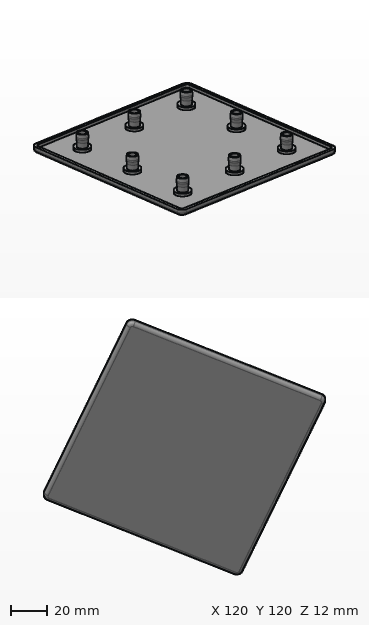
import cadquery as cq

side = 120.0
tray_height = side / 30
floor_thickness = tray_height / 2
wall = tray_height / 2
corner_radius = 3.5
bottom_round = 2.3

total_height = 12.0
stud_spacing = side / 3
foot_radius = side / 24
foot_height = 1.7

bead_radius = 3.5
bead_projection = 0.28
bead_start = 7.0
band_bottom = 9.0
band_top = 10.0
shank_radius = bead_radius - bead_projection

hole_radius = 2.3
hole_bottom = floor_thickness


def make_tray():
    """Square tray with rounded corners and a rounded bottom edge."""
    block = (
        cq.Workplane("XY")
        .rect(side, side)
        .extrude(tray_height)
        .edges("|Z")
        .fillet(corner_radius)
        .faces("<Z")
        .edges()
        .fillet(bottom_round)
    )
    inner_side = side - 2 * wall
    recess = (
        cq.Workplane("XY")
        .workplane(offset=floor_thickness)
        .rect(inner_side, inner_side)
        .extrude(tray_height - floor_thickness)
        .edges("|Z")
        .fillet(corner_radius - wall)
    )
    return block.cut(recess)


def make_stud():
    """Turned stud: foot, shank, snap bead up to the tip, and a blind hole."""
    foot_top = floor_thickness + foot_height
    profile = (
        cq.Workplane("XZ")
        .moveTo(0, floor_thickness)
        .lineTo(foot_radius, floor_thickness)
        .lineTo(foot_radius, foot_top)
        .lineTo(shank_radius, foot_top)
        .lineTo(shank_radius, bead_start)
        .lineTo(bead_radius, band_bottom)
        .lineTo(bead_radius, band_top)
        .lineTo(shank_radius, total_height)
        .lineTo(0, total_height)
        .close()
    )
    body = profile.revolve(360, (0, 0, 0), (0, 1, 0))

    ball_centre = hole_bottom + hole_radius
    straight_hole = (
        cq.Workplane("XY")
        .workplane(offset=ball_centre)
        .circle(hole_radius)
        .extrude(total_height - ball_centre)
    )
    round_end = cq.Workplane("XY").sphere(hole_radius).translate((0, 0, ball_centre))
    return body.cut(straight_hole).cut(round_end)


stud = make_stud()
result = make_tray()
for column in (-1, 0, 1):
    for row in (-1, 0, 1):
        is_middle = column == 0 and row == 0
        if not is_middle:
            position = (column * stud_spacing, row * stud_spacing, 0)
            result = result.union(stud.translate(position))